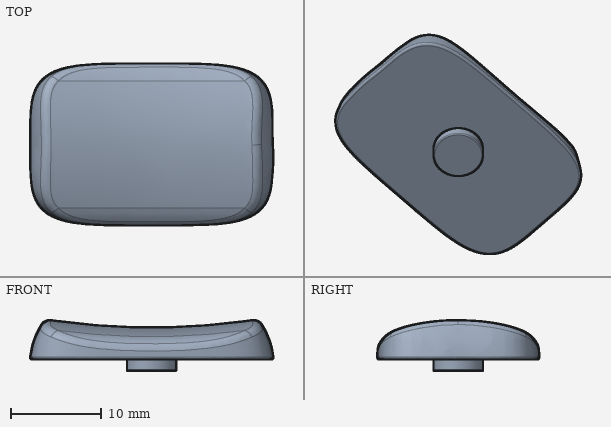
import cadquery as cq
import math

LENGTH = 26.97
WIDTH = 18.0
TOTAL_HEIGHT = 5.66
BOSS_DIAMETER = 5.5
BOSS_HEIGHT = 1.27
BOSS_EDGE_ROUND = 0.13

OUTLINE_EXPONENT = 4.4
OUTLINE_POINTS = 40

MID_LEVEL = 2.15
MID_END_INSET = 0.45
MID_SIDE_INSET = 0.08
TOP_LEVEL = TOTAL_HEIGHT
TOP_END_INSET = 2.7
TOP_SIDE_INSET = 0.43

SADDLE_HEIGHT = 3.55
HOLLOW_RADIUS = 76.86
CROWN_RADIUS = 24.55
CROWN_HALF_WIDTH = 7.05
SHOULDER_RADIUS = 4.58
SHOULDER_ANGLE = math.radians(45)
RUN_OUT = WIDTH / 10
SWEEP_ANGLE = 40
TOP_EDGE_ROUND = 1.08
BOTTOM_EDGE_ROUND = 0.27


def signed_power(value, exponent):
    return math.copysign(abs(value) ** exponent, value)


def outline_point(index, half_length, half_width):
    angle = 2 * math.pi * index / OUTLINE_POINTS
    exponent = 2 / OUTLINE_EXPONENT
    return (
        half_length * signed_power(math.cos(angle), exponent),
        half_width * signed_power(math.sin(angle), exponent),
    )


def outline(level, end_inset, side_inset):
    """Closed plan outline of the walls at one level."""
    half_length = LENGTH / 2 - end_inset
    half_width = WIDTH / 2 - side_inset
    points = [outline_point(i, half_length, half_width) for i in range(OUTLINE_POINTS)]
    edge = cq.Edge.makeSpline([cq.Vector(x, y, level) for x, y in points], periodic=True)
    return cq.Wire.assembleEdges([edge])


def make_walls():
    """Block with curved, inward-leaning walls, taller than the finished cap."""
    levels = [
        outline(0, 0, 0),
        outline(MID_LEVEL, MID_END_INSET, MID_SIDE_INSET),
        outline(TOP_LEVEL, TOP_END_INSET, TOP_SIDE_INSET),
    ]
    return cq.Workplane(cq.Solid.makeLoft(levels))


def crown_point(angle):
    """Point of the crown arc, by the angle from its highest point."""
    return (
        CROWN_RADIUS * math.sin(angle),
        SADDLE_HEIGHT - CROWN_RADIUS * (1 - math.cos(angle)),
    )


def make_space_above_saddle():
    """Crown with a tighter shoulder on each side, turned about a high axis parallel to Y."""
    crown_angle = math.asin(CROWN_HALF_WIDTH / CROWN_RADIUS)
    crown_y, crown_z = crown_point(crown_angle)
    center_y = crown_y - SHOULDER_RADIUS * math.sin(crown_angle)
    center_z = crown_z - SHOULDER_RADIUS * math.cos(crown_angle)

    def shoulder_point(angle):
        return (
            center_y + SHOULDER_RADIUS * math.sin(angle),
            center_z + SHOULDER_RADIUS * math.cos(angle),
        )

    mid_y, mid_z = shoulder_point((crown_angle + SHOULDER_ANGLE) / 2)
    arc_end_y, arc_end_z = shoulder_point(SHOULDER_ANGLE)
    outer_y = arc_end_y + RUN_OUT
    outer_z = arc_end_z - RUN_OUT * math.tan(SHOULDER_ANGLE)
    axis_height = SADDLE_HEIGHT + HOLLOW_RADIUS
    return (
        cq.Workplane("YZ")
        .moveTo(-outer_y, outer_z)
        .lineTo(-arc_end_y, arc_end_z)
        .threePointArc((-mid_y, mid_z), (-crown_y, crown_z))
        .threePointArc((0, SADDLE_HEIGHT), (crown_y, crown_z))
        .threePointArc((mid_y, mid_z), (arc_end_y, arc_end_z))
        .lineTo(outer_y, outer_z)
        .lineTo(outer_y, axis_height)
        .lineTo(-outer_y, axis_height)
        .close()
        .revolve(SWEEP_ANGLE, (0, axis_height), (1, axis_height))
        .rotate((0, 0, axis_height), (0, 1, axis_height), -SWEEP_ANGLE / 2)
    )


def make_boss():
    return (
        cq.Workplane("XY")
        .circle(BOSS_DIAMETER / 2)
        .extrude(-BOSS_HEIGHT)
        .faces("<Z")
        .edges()
        .fillet(BOSS_EDGE_ROUND)
    )


cap = make_walls().cut(make_space_above_saddle())
rim = [
    edge
    for edge in cap.edges("not %CIRCLE").vals()
    if edge.BoundingBox().zmin > BOTTOM_EDGE_ROUND
]
cap = cap.newObject(rim).fillet(TOP_EDGE_ROUND)
cap = cap.faces("<Z").edges().fillet(BOTTOM_EDGE_ROUND)
result = cap.union(make_boss())